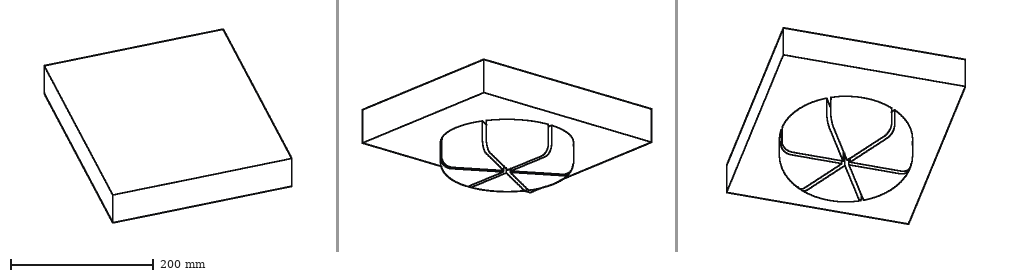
import cadquery as cq

length = 309.0
width = 265.0
total_height = 93.3
plate_thickness = 50.0

boss_diameter = 187.5
boss_height = total_height - plate_thickness
boss_edge_radius = 14.8

slot_width = 6.0
slot_count = 3
slot_spacing_angle = 180 / slot_count
first_slot_angle = 90
slot_length = 1.1 * boss_diameter


def make_plate():
    """Rectangular plate with its underside on Z = 0."""
    return cq.Workplane("XY").box(length, width, plate_thickness, centered=(True, True, False))


def make_boss():
    """Round boss hanging from Z = 0, with a rounded lower rim."""
    boss = cq.Workplane("XY").circle(boss_diameter / 2).extrude(-boss_height)
    return boss.faces("<Z").edges().fillet(boss_edge_radius)


def make_slot(angle):
    """Cutter for one full-depth slot across the boss."""
    slot = cq.Workplane("XY").rect(slot_length, slot_width).extrude(-boss_height)
    return slot.rotate((0, 0, 0), (0, 0, 1), angle)


boss = make_boss()
for index in range(slot_count):
    boss = boss.cut(make_slot(first_slot_angle + index * slot_spacing_angle))

result = make_plate().union(boss)